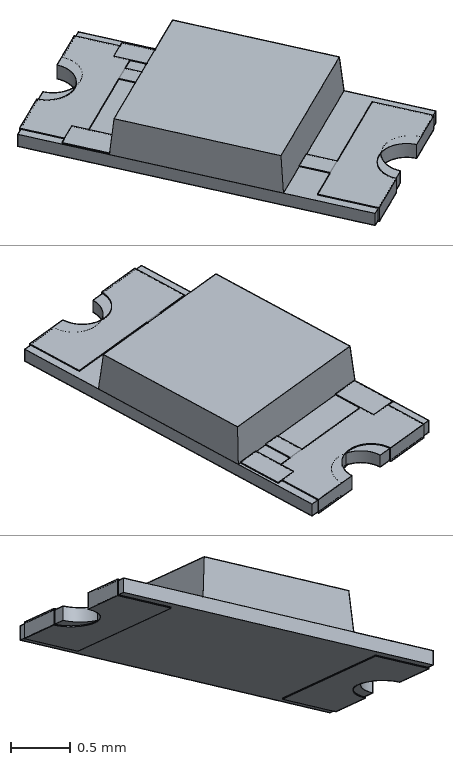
import cadquery as cq
import math

OVERALL_LENGTH = 3.22
PLATING = 0.01
BOARD_LENGTH = OVERALL_LENGTH - 2 * PLATING
BOARD_WIDTH = 1.5
BOARD_BOTTOM = PLATING
BOARD_TOP = 0.14
COPPER_TOP = BOARD_TOP + PLATING

NOTCH_RADIUS = 0.248
BOARD_NOTCH_SHIFT = 0.122

TERMINAL_LENGTH = 0.555
TERMINAL_WIDTH = 1.352
TERMINAL_INNER_X = OVERALL_LENGTH / 2 - TERMINAL_LENGTH

LEFT_TRACE_Y = (0.25, 0.402)
RIGHT_TRACE_Y = (-0.36, -0.19)

MARKER_STRIPS = [
    (-1.2, (0.525, 0.725)),
    (-1.208, (-0.74, -0.495)),
]

LENS_TOP_Z = 0.51
LENS_BASE_LENGTH = 1.56
LENS_BASE_WIDTH = BOARD_WIDTH
LENS_TOP_LENGTH = 1.495
LENS_TOP_WIDTH = 1.445


def block(x_range, y_range, z_range):
    """Box between pairs of limits along X, Y and Z."""
    return cq.Workplane("XY").box(
        x_range[1] - x_range[0],
        y_range[1] - y_range[0],
        z_range[1] - z_range[0],
        centered=False,
    ).translate((x_range[0], y_range[0], z_range[0]))


def notch_cutter(x, y):
    """Vertical cylinder through the full copper and board thickness."""
    return cq.Workplane("XY").center(x, y).circle(NOTCH_RADIUS).extrude(COPPER_TOP)


def make_board():
    half_length = BOARD_LENGTH / 2
    half_width = BOARD_WIDTH / 2
    board = block((-half_length, half_length), (-half_width, half_width), (BOARD_BOTTOM, BOARD_TOP))
    for side in (-1, 1):
        board = board.cut(notch_cutter(side * half_length, BOARD_NOTCH_SHIFT))
    return board


def make_lens():
    return (
        cq.Workplane("XY", origin=(0, 0, BOARD_TOP))
        .rect(LENS_BASE_LENGTH, LENS_BASE_WIDTH)
        .workplane(offset=LENS_TOP_Z - BOARD_TOP)
        .rect(LENS_TOP_LENGTH, LENS_TOP_WIDTH)
        .loft(ruled=True)
    )


def make_copper_strip(outer_x, y_range):
    """Flat strip on the board, from outer_x to the nearer end of the lens base."""
    side = math.copysign(1, outer_x)
    x_range = sorted((outer_x, side * LENS_BASE_LENGTH / 2))
    return block(x_range, y_range, (BOARD_TOP, COPPER_TOP))


def make_terminal(side, trace_y):
    """Terminal and its trace; side is -1 for the -X end and 1 for the +X end."""
    x_range = sorted((side * TERMINAL_INNER_X, side * OVERALL_LENGTH / 2))
    half_width = TERMINAL_WIDTH / 2
    terminal = (
        block(x_range, (-half_width, half_width), (0, COPPER_TOP))
        .cut(notch_cutter(side * OVERALL_LENGTH / 2, 0))
        .cut(board)
    )
    for strip in marker_strips:
        terminal = terminal.cut(strip)
    trace = make_copper_strip(side * TERMINAL_INNER_X, trace_y)
    return terminal.union(trace, clean=False)


board = make_board()
lens = make_lens()
marker_strips = [make_copper_strip(outer_x, y_range) for outer_x, y_range in MARKER_STRIPS]
left_terminal = make_terminal(-1, LEFT_TRACE_Y)
right_terminal = make_terminal(1, RIGHT_TRACE_Y)

result = cq.Compound.makeCompound([
    board.val(),
    lens.val(),
    left_terminal.solids().val(),
    right_terminal.solids().val(),
    *[strip.val() for strip in marker_strips],
])